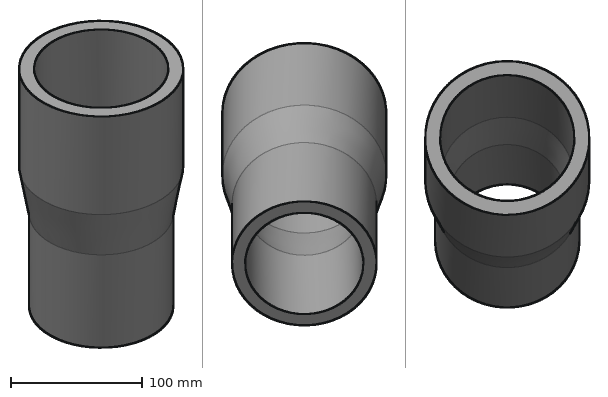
import cadquery as cq

total_height = 222.0
large_diameter = 125.0
small_diameter = 110.1
large_bore = 102.1
small_bore = 90.0
small_end_height = 87.0
taper_top = 130.0

large_radius = large_diameter / 2
small_radius = small_diameter / 2
large_bore_radius = large_bore / 2
small_bore_radius = small_bore / 2

wall_section = (
    cq.Workplane("XZ")
    .moveTo(small_bore_radius, 0)
    .lineTo(small_radius, 0)
    .lineTo(small_radius, small_end_height)
    .lineTo(large_radius, taper_top)
    .lineTo(large_radius, total_height)
    .lineTo(large_bore_radius, total_height)
    .lineTo(large_bore_radius, taper_top)
    .lineTo(small_bore_radius, small_end_height)
    .close()
)

result = wall_section.revolve(360, (0, 0, 0), (0, 1, 0))